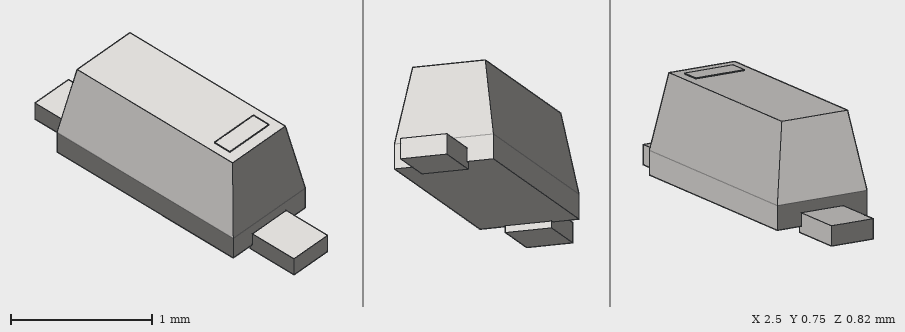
import cadquery as cq

overall_length = 2.5
lead_length = 0.425
lead_width = 0.35
lead_thickness = 0.15

housing_length = 1.7
housing_width = 0.75
standoff = 0.05
base_height = 0.182
housing_top = 0.812
top_inset = 0.1

mark_length = 0.15
mark_width = 0.405
mark_thickness = 0.008
mark_center_x = 0.582

cap_bottom = standoff + base_height
cap_height = housing_top - cap_bottom
lead_center_x = (overall_length - lead_length) / 2


def block(length, width, height, center_x, bottom):
    """Box centred on Y = 0 that stands on the given bottom height."""
    return (
        cq.Workplane("XY")
        .box(length, width, height, centered=(True, True, False))
        .translate((center_x, 0, bottom))
    )


def make_lead(side):
    """Flat lead at the -X (side = -1) or +X (side = 1) end."""
    return block(lead_length, lead_width, lead_thickness, side * lead_center_x, 0)


def make_housing(leads):
    """Straight base and tapered cap, with a recess for each lead's inner end."""
    base = block(housing_length, housing_width, base_height, 0, standoff)
    cap = (
        cq.Workplane("XY")
        .workplane(offset=cap_bottom)
        .rect(housing_length, housing_width)
        .workplane(offset=cap_height)
        .rect(housing_length - 2 * top_inset, housing_width - 2 * top_inset)
        .loft(ruled=True)
    )
    housing = base.union(cap)
    for lead in leads:
        housing = housing.cut(lead)
    return housing


def make_mark():
    """Thin bar lying on the housing top near the +X end."""
    return block(mark_length, mark_width, mark_thickness, mark_center_x, housing_top)


leads = [make_lead(side) for side in (-1, 1)]
housing = make_housing(leads)
mark = make_mark()

result = cq.Compound.makeCompound([housing.val(), mark.val(), *[lead.val() for lead in leads]])